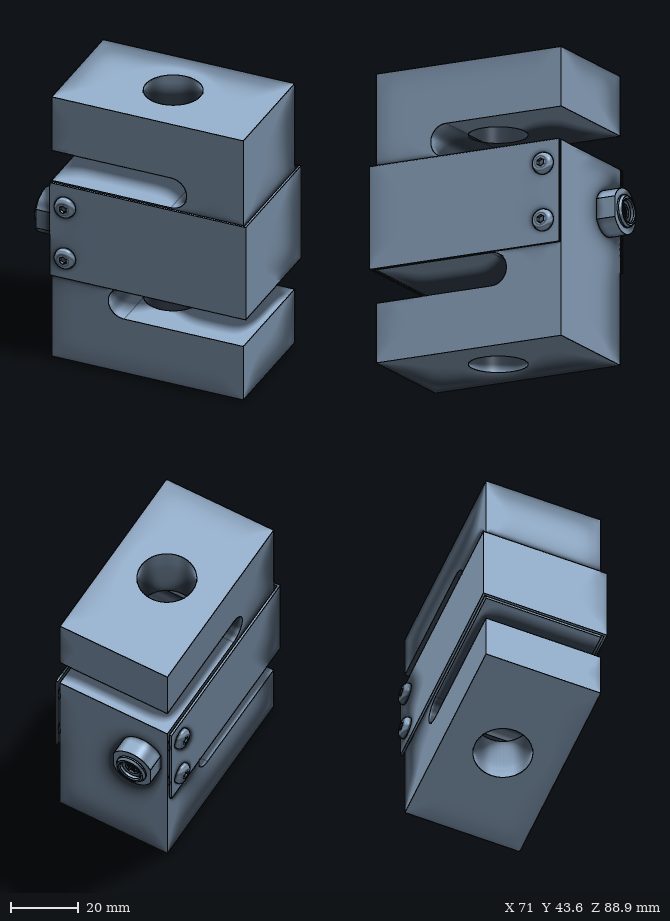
import cadquery as cq
import math

body_length = 62.2
body_width = 36.8
body_height = 88.9
slot_width = 10.2
slot_depth = 43.8
arm_height = 18.4
load_hole_diameter = 17.7

cover_gap = 0.7
cover_thickness = 0.7
cover_height = body_height - 2 * (arm_height + slot_width)

screw_x = 5.2
screw_z = 8.7
washer_diameter = 9.9
head_diameter = 6.7
head_top_diameter = 3.8
head_height = 2.0
head_rim_height = 0.4
socket_corner_diameter = 2.5
socket_depth = 1.1

connector_y = -9.9
nut_diameter = 14.05
nut_flats = 12.5
nut_length = 6.1
collar_diameter = 9.9
collar_tip_diameter = 8.8
collar_length = 1.3
collar_chamfer = 0.8
bore_diameter = 6.9
bore_depth = 1.3
bore_chamfer = 0.4
insert_diameter = 4.5
insert_recess = 0.7
pin_diameter = 1.0
pin_circle_diameter = 2.4
pin_count = 4
center_pin_diameter = 0.7

leg_inner_y = body_width / 2 + cover_gap
leg_outer_y = leg_inner_y + cover_thickness


def cylinder_x(diameter, start_x, end_x, y=connector_y, z=0.0):
    """Cylinder along X between two X positions, on the connector axis by default."""
    circle = cq.Workplane("YZ", origin=(start_x, y, z)).circle(diameter / 2)
    return circle.extrude(end_x - start_x)


def make_slot(open_x, direction, center_z):
    """Slot through Y, open at open_x and round at its closed end."""
    radius = slot_width / 2
    center_x = open_x + direction * (slot_depth - radius)
    return (
        cq.Workplane("XZ")
        .moveTo(open_x, center_z - radius)
        .lineTo(center_x, center_z - radius)
        .threePointArc((center_x + direction * radius, center_z), (center_x, center_z + radius))
        .lineTo(open_x, center_z + radius)
        .close()
        .extrude(body_width / 2, both=True)
    )


def make_body():
    """Block with two opposed slots and a vertical load hole in each outer arm."""
    body = cq.Workplane("XY").box(body_length, body_width, body_height, centered=(False, True, True))
    slot_z = body_height / 2 - arm_height - slot_width / 2
    body = body.cut(make_slot(0, 1, slot_z))
    body = body.cut(make_slot(body_length, -1, -slot_z))
    for bottom_z in (-body_height / 2, body_height / 2 - arm_height):
        hole = cq.Workplane("XY", origin=(body_length / 2, 0, bottom_z)).circle(load_hole_diameter / 2)
        body = body.cut(hole.extrude(arm_height))
    return body


def make_cover():
    """Sheet with two side legs joined behind the +X face of the body."""
    inner_length = body_length + cover_gap
    outer = cq.Workplane("XY").box(
        inner_length + cover_thickness, 2 * leg_outer_y, cover_height, centered=(False, True, True)
    )
    inner = cq.Workplane("XY").box(inner_length, 2 * leg_inner_y, cover_height, centered=(False, True, True))
    return outer.cut(inner)


def make_screw(z):
    """Washer and domed hex-socket screw head on the -Y side."""
    washer = cq.Workplane("XZ", origin=(screw_x, -body_width / 2, z)).circle(washer_diameter / 2)
    washer = washer.extrude(cover_gap)
    rim_radius = head_diameter / 2
    top_radius = head_top_diameter / 2
    dome_height = head_height - head_rim_height
    dome_mid = (
        top_radius + (rim_radius - top_radius) * math.sin(math.pi / 4),
        head_rim_height + dome_height * math.sin(math.pi / 4),
    )
    head = (
        cq.Workplane("XY")
        .lineTo(rim_radius, 0)
        .lineTo(rim_radius, head_rim_height)
        .threePointArc(dome_mid, (top_radius, head_height))
        .lineTo(0, head_height)
        .close()
        .revolve(360, (0, 0), (0, 1))
        .rotate((0, 0, 0), (1, 0, 0), 180)
        .translate((screw_x, -leg_outer_y, z))
    )
    socket = (
        cq.Workplane("XZ", origin=(screw_x, -leg_outer_y - head_height, z))
        .transformed(rotate=(0, 0, 90))
        .polygon(6, socket_corner_diameter)
        .extrude(-socket_depth)
    )
    return washer.union(head.cut(socket))


def make_connector():
    """Two-flat nut with a chamfered collar, a bore and a pin insert."""
    tip_x = -nut_length - collar_length
    flats = cq.Workplane("XY").box(nut_length, nut_flats, nut_diameter)
    flats = flats.translate((-nut_length / 2, connector_y, 0))
    nut = cylinder_x(nut_diameter, -nut_length, 0).intersect(flats)
    taper = (collar_diameter - collar_tip_diameter) / 2
    collar = cylinder_x(collar_diameter, tip_x, -nut_length)
    collar = collar.faces("<X").chamfer(collar_chamfer, taper)
    connector = nut.union(collar).cut(cylinder_x(bore_diameter, tip_x, tip_x + bore_depth))
    inner_edge = cq.selectors.RadiusNthSelector(0)
    connector = connector.faces("<X").edges(inner_edge).chamfer(bore_chamfer)
    floor_x = tip_x + bore_depth
    insert_floor_x = floor_x + insert_recess
    connector = connector.cut(cylinder_x(insert_diameter, floor_x, insert_floor_x))
    connector = connector.union(cylinder_x(center_pin_diameter, floor_x, insert_floor_x))
    for index in range(pin_count):
        angle = 2 * math.pi * (index + 0.5) / pin_count
        pin_y = connector_y + pin_circle_diameter / 2 * math.cos(angle)
        pin_z = pin_circle_diameter / 2 * math.sin(angle)
        connector = connector.union(cylinder_x(pin_diameter, floor_x, insert_floor_x, pin_y, pin_z))
    return connector


result = make_body().union(make_cover()).union(make_connector())
for z in (-screw_z, screw_z):
    screw = make_screw(z)
    result = result.union(screw).union(screw.mirror("XZ"))